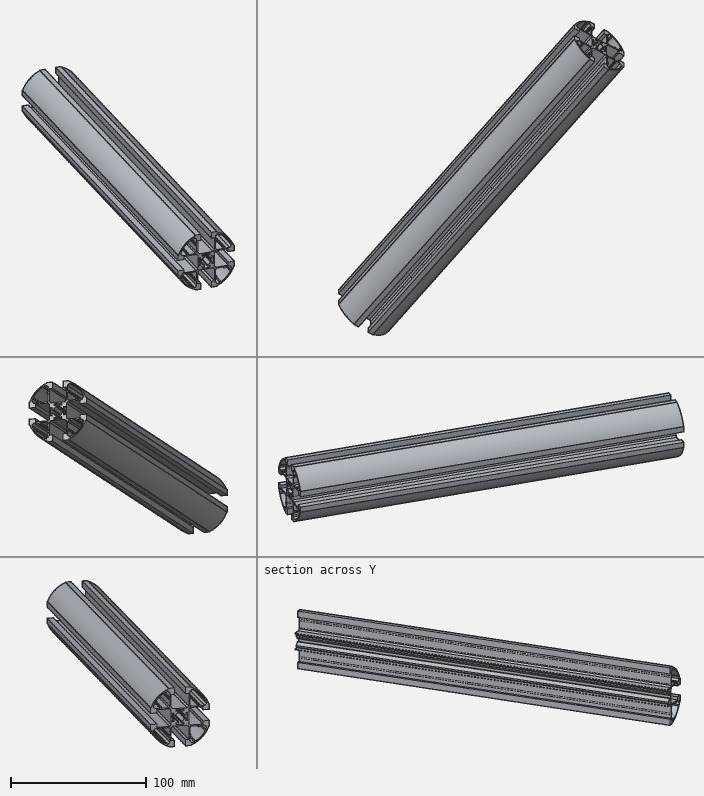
import cadquery as cq
import math

length = 304.8
half_width = 22.5
wall = 1.0

slot_opening = 8.5
slot_half_width = 6.7
lip_thickness = 5.0
slot_corner = 1.2

lip_flat_end = 8.5
shell_drop = 0.3
shell_crown = 7.8
shell_thickness = 0.3

chamber_corner = 1.0
lip_depth = 3.7
lip_chamfer = 1.5
bead_place = 14.5
bead_width = 1.2
bead_height = 1.0
nib_place = (11.5, 19.8)
nib_radius = 0.5

bore_radius = 3.7
rib_half_width = 1.5
rib_head_top = 4.5
rib_head_tip = 1.2

quarter_turns = [0, 90, 180, 270]
diagonal = math.sqrt(4.645)


def extrude(outline):
    """Close an outline and run it the full length."""
    return outline.close().extrude(length)


def four_times(shape):
    """Union of the shape turned to all four sides."""
    turned = cq.Workplane("YZ")
    for angle in quarter_turns:
        turned = turned.union(shape.rotate((0, 0, 0), (1, 0, 0), angle))
    return turned


def mirrored(point):
    """Point reflected across the quadrant diagonal."""
    return (point[1], point[0])


def across_diagonal(shape):
    """Shape reflected across the quadrant diagonal."""
    return shape.mirror("XZ").rotate((0, 0, 0), (1, 0, 0), -90)


def quadrant_blank():
    """Solid quarter: two flat lip faces joined by the bowed shell."""
    shell_end = (lip_flat_end, half_width - shell_drop)
    crown = (shell_crown * diagonal, shell_crown * diagonal)
    return extrude(
        cq.Workplane("YZ")
        .lineTo(0, half_width)
        .lineTo(lip_flat_end, half_width)
        .lineTo(*shell_end)
        .threePointArc(crown, mirrored(shell_end))
        .lineTo(half_width, lip_flat_end)
        .lineTo(half_width, 0)
    )


def slot():
    """T-slot on the +Z side: wide channel behind a narrower opening."""
    depth = half_width - lip_thickness - slot_half_width
    channel = (
        cq.Workplane("YZ")
        .center(0, slot_half_width + depth / 2)
        .rect(2 * slot_half_width, depth)
        .extrude(length)
        .edges("|X and <Z")
        .chamfer(slot_corner)
    )
    opening_height = half_width - slot_half_width
    opening = (
        cq.Workplane("YZ")
        .center(0, slot_half_width + opening_height / 2)
        .rect(slot_opening, opening_height)
        .extrude(length)
    )
    return channel.union(opening)


def chamber():
    """Hollow of one quadrant, less the nibs and beads that stand into it."""
    side = slot_half_width + wall
    lip_back = half_width - lip_depth
    roof_end = (side + lip_chamfer, lip_back + lip_chamfer)
    crown = (shell_crown - shell_thickness) * diagonal
    corner_end = (side, side + chamber_corner)
    lip_start = (side, lip_back)
    hollow = extrude(
        cq.Workplane("YZ")
        .moveTo(*corner_end)
        .lineTo(*lip_start)
        .lineTo(*roof_end)
        .threePointArc((crown, crown), mirrored(roof_end))
        .lineTo(*mirrored(lip_start))
        .lineTo(*mirrored(corner_end))
    )
    nib = cq.Workplane("YZ").center(*nib_place).circle(nib_radius).extrude(length)
    bead = (
        cq.Workplane("YZ")
        .center(side, bead_place)
        .rect(2 * bead_height, bead_width)
        .extrude(length)
    )
    for ridge in (nib, bead):
        hollow = hollow.cut(ridge).cut(across_diagonal(ridge))
    return hollow


def core_rib():
    """Neck from the core corner, spreading into a head with two tips."""
    outer = slot_half_width
    neck = rib_head_top - rib_half_width
    return extrude(
        cq.Workplane("YZ")
        .moveTo(rib_head_tip, rib_head_tip)
        .lineTo(rib_head_tip, rib_head_top)
        .lineTo(neck, rib_head_top)
        .lineTo(neck, outer)
        .lineTo(outer, outer)
        .lineTo(outer, neck)
        .lineTo(rib_head_top, neck)
        .lineTo(rib_head_top, rib_head_tip)
    )


def core_hollow():
    """Square hollow between the slot floors, less the ribs, plus the bore."""
    side = 2 * (slot_half_width - wall)
    hollow = cq.Workplane("YZ").rect(side, side).extrude(length)
    bore = cq.Workplane("YZ").circle(bore_radius).extrude(length)
    return hollow.cut(four_times(core_rib())).union(bore)


result = (
    four_times(quadrant_blank())
    .cut(four_times(slot()))
    .cut(four_times(chamber()))
    .cut(core_hollow())
)